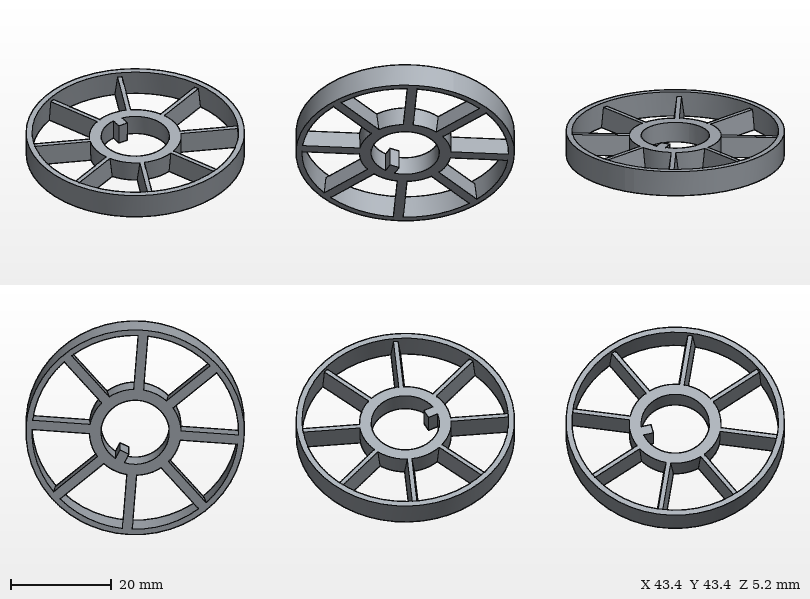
import cadquery as cq
import math

outer_diameter = 43.4
rim_height = 5.2
rim_inner_diameter = 41.0

top_recess = 1.0
inner_height = rim_height - top_recess

hub_diameter = 18.23
bore_diameter = 13.55
key_width = 2.0
key_tip_radius = 4.7

spoke_count = 8
spoke_top_width = 0.9
spoke_bottom_width = 2.0
joint_overlap = 0.45


def ring(outer, inner, height):
    return cq.Workplane("XY").circle(outer / 2).circle(inner / 2).extrude(height)


def spoke(angle):
    """Tapered bar from hub to rim, pointing along the given angle."""
    start = hub_diameter / 2 - joint_overlap
    length = rim_inner_diameter / 2 + joint_overlap - start
    section = [
        (-spoke_bottom_width / 2, 0),
        (spoke_bottom_width / 2, 0),
        (spoke_top_width / 2, inner_height),
        (-spoke_top_width / 2, inner_height),
    ]
    bar = cq.Workplane("YZ").workplane(offset=start).polyline(section).close().extrude(length)
    return bar.rotate((0, 0, 0), (0, 0, 1), angle)


def key():
    """Hub-height key on the -X side of the bore."""
    length = bore_diameter / 2 + joint_overlap - key_tip_radius
    block = cq.Workplane("XY").box(length, key_width, inner_height, centered=(False, True, False))
    return block.translate((-key_tip_radius - length, 0, 0))


def rim_flat():
    """Sliver outside the narrow flat, as wide as the key, on the -X side of the rim."""
    flat_distance = math.sqrt((outer_diameter / 2) ** 2 - (key_width / 2) ** 2)
    block = cq.Workplane("XY").box(joint_overlap, key_width, rim_height, centered=(False, True, False))
    return block.translate((-flat_distance - joint_overlap, 0, 0))


rim = ring(outer_diameter, rim_inner_diameter, rim_height)
hub = ring(hub_diameter, bore_diameter, inner_height)
result = rim.union(hub)
spoke_pitch = 360 / spoke_count
for index in range(spoke_count):
    result = result.union(spoke((index + 0.5) * spoke_pitch))
result = result.union(key()).cut(rim_flat())